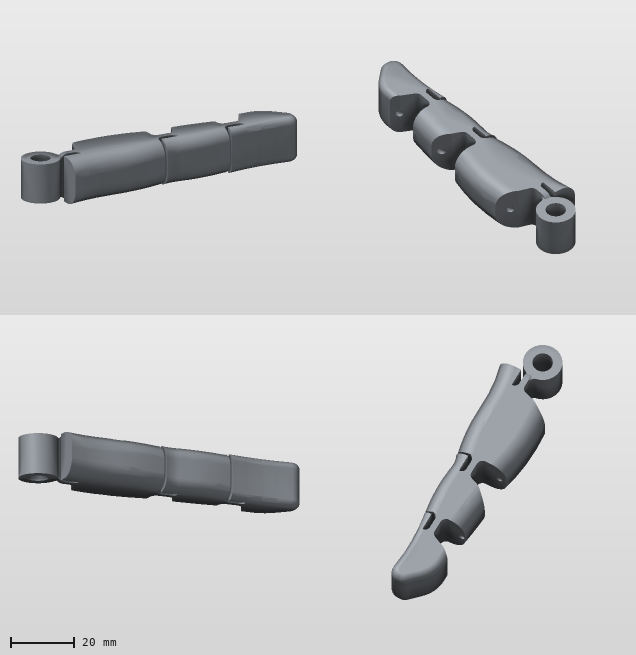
import cadquery as cq
import math


height = 15.0
PALM = -1
BACK = 1
overlap = 0.5
clearance = 19.1

ring_radius = 6.2
bore_diameter = 6.4
ring_height = 13.0
ring_palm_fillet = 2.0
ring_back_fillet = 0.8

web_thickness = 2.0
web_x = 0.33
base_web_x = 0.6
foot_radius = 2.0
notch_fillet = 2.0
slot_fillet = 1.6

hook_gap = 0.9
base_hook_end = 5.9
proximal_top = 39.8
middle_top = 63.3
tip_top = 89.15
middle_hook_end = proximal_top + hook_gap
distal_hook_end = middle_top + hook_gap

proximal_palm_round = 5.4
proximal_back_round = 5.3
middle_palm_round = 5.3
middle_back_round = 4.2
distal_round = 2.3

cord_diameter = 2.0
distal_cord_depth = 3.8


def prism(outline, depth=height):
    """Extrude a closed outline symmetrically about the XY plane."""
    return outline.close().extrude(depth / 2, both=True)


def round_long_edges(blank, radius, x_side):
    """Round the upper and lower long edges on one side of a segment (PALM or BACK)."""
    side = cq.selectors.BoxSelector(
        (0, -clearance, -height), (x_side * clearance, 2 * tip_top, height))
    rims = blank.faces("|Z").edges(side)
    lengthwise = [edge for edge in rims.vals() if abs(edge.tangentAt(0.5).y) > abs(edge.tangentAt(0.5).x)]
    return blank.newObject(lengthwise).fillet(radius)


def proximal_blank():
    palm_hook_end = (-8.2, base_hook_end)
    palm_bulge = (-10.9, 24.8)
    palm_top = (-9.1, proximal_top)
    back_top = (8.5, proximal_top)
    back_bulge = (10.0, 31.5)
    back_seam = (10.4, 21.5)
    back_hook_end = (12.2, base_hook_end)
    blank = prism(
        cq.Workplane().moveTo(*palm_hook_end)
        .threePointArc(palm_bulge, palm_top)
        .lineTo(*back_top)
        .threePointArc(back_bulge, back_seam)
        .tangentArcPoint(back_hook_end, relative=False)
    )
    blank = round_long_edges(blank, proximal_palm_round, PALM)
    return round_long_edges(blank, proximal_back_round, BACK)


def middle_blank():
    palm_hook_end = (-8.8, middle_hook_end)
    palm_bulge = (-8.4, 52.4)
    palm_top = (-7.2, middle_top)
    back_top = (7.1, middle_top)
    back_bulge = (8.1, 53.4)
    back_seam = (7.7, 45.3)
    back_hook_end = (8.4, middle_hook_end)
    blank = prism(
        cq.Workplane().moveTo(*palm_hook_end)
        .threePointArc(palm_bulge, palm_top)
        .lineTo(*back_top)
        .threePointArc(back_bulge, back_seam)
        .tangentArcPoint(back_hook_end, relative=False)
    )
    blank = round_long_edges(blank, middle_palm_round, PALM)
    return round_long_edges(blank, middle_back_round, BACK)


def distal_blank():
    back_tip_radius = 3.4
    back_tip_x = 2.6
    palm_tip_radius = 3.1
    palm_tip_x = 1.5
    slope_length = 5.0
    palm_x = -7.4
    palm_arc_end = 76.9
    diagonal = math.sqrt(0.5)
    slope_top = (palm_tip_x - palm_tip_radius * diagonal,
                 tip_top - palm_tip_radius * (1 - diagonal))
    slope_end = (slope_top[0] - slope_length * diagonal, slope_top[1] - slope_length * diagonal)
    back_hook_end = (6.7, distal_hook_end)
    back_lean = math.radians(6.5)
    back_top = (back_tip_x + back_tip_radius * math.cos(back_lean),
                tip_top - back_tip_radius * (1 + math.sin(back_lean)))
    blank = prism(
        cq.Workplane().moveTo(palm_x, distal_hook_end)
        .lineTo(palm_x, palm_arc_end)
        .tangentArcPoint(slope_end, relative=False)
        .lineTo(*slope_top)
        .tangentArcPoint((palm_tip_x, tip_top), relative=False)
        .lineTo(back_tip_x, tip_top)
        .tangentArcPoint(back_top, relative=False)
        .tangentArcPoint(back_hook_end, relative=False)
    )
    return blank.faces("|Z").edges("not(<Y)").fillet(distal_round)


def palm_notch(corner, kink, root_y, web_face, bottom):
    """Tool for the relief on the palm side, slanting from the outer corner over a kink to the web."""
    slope = (corner[1] - kink[1]) / (corner[0] - kink[0])
    outer_x = -clearance
    outer_y = corner[1] + slope * (outer_x - corner[0])
    tool = prism(
        cq.Workplane().moveTo(outer_x, outer_y).lineTo(*kink).lineTo(web_face, root_y)
        .lineTo(web_face, bottom - overlap).lineTo(outer_x, bottom - overlap)
    )
    return tool.edges("|Z and >X").edges(">Y").fillet(notch_fillet)


def back_slot(web_face, hook_x, top, bottom):
    """Tool for the narrow slot between a web and the hook behind it."""
    web_back = web_face + web_thickness
    tool = prism(
        cq.Workplane().moveTo(web_back, bottom - overlap).lineTo(hook_x, bottom - overlap)
        .lineTo(hook_x, top).lineTo(web_back, top)
    )
    return tool.edges("|Z and <X and >Y").fillet(slot_fillet)


def joint_web(segment_top):
    """Web bridging the hook gap, flared onto the end of the segment below."""
    left, right = web_x, web_x + web_thickness
    foot_top = segment_top + foot_radius
    sink = segment_top - overlap
    dip = foot_radius * (1 - math.sqrt(0.5))
    return prism(
        cq.Workplane().moveTo(left, sink)
        .lineTo(left, segment_top)
        .lineTo(left - foot_radius, segment_top)
        .threePointArc((left - dip, segment_top + dip), (left, foot_top))
        .lineTo(right, foot_top)
        .threePointArc((right + dip, segment_top + dip), (right + foot_radius, segment_top))
        .lineTo(right, segment_top)
        .lineTo(right, sink)
    )


def cord_hole(x, start, end):
    """Cord hole running along Y."""
    return (cq.Workplane("XZ", origin=(x, start, 0))
            .circle(cord_diameter / 2).extrude(start - end))


def mounting_ring():
    """Ring with the root of its web, blended together."""
    root_top = 8.4
    root_bottom = bore_diameter / 2 + overlap
    web_back = base_web_x + web_thickness
    ring = cq.Workplane().circle(ring_radius).extrude(ring_height / 2, both=True)
    root = prism(
        cq.Workplane().moveTo(base_web_x, root_bottom).lineTo(web_back, root_bottom)
        .lineTo(web_back, root_top).lineTo(base_web_x, root_top),
        ring_height,
    )
    ring = ring.union(root)
    for web_face, radius in ((base_web_x, ring_palm_fillet), (web_back, ring_back_fillet)):
        corner = (web_face, math.sqrt(ring_radius ** 2 - web_face ** 2), 0)
        ring = ring.edges("|Z").edges(cq.selectors.NearestToPointSelector(corner)).fillet(radius)
    bore = cq.Workplane().circle(bore_diameter / 2).extrude(height, both=True)
    return ring.cut(bore)


def web_end_rounding():
    """Tool that rounds the base web down from segment height to ring height."""
    drop = (height - ring_height) / 2
    run = 2.5
    radius = (run ** 2 + drop ** 2) / (2 * drop)
    start_y = base_hook_end + run
    half_angle = math.asin(run / radius) / 2
    middle = (start_y - radius * math.sin(half_angle),
              height / 2 - radius * (1 - math.cos(half_angle)))
    upper = (
        cq.Workplane("YZ", origin=(base_web_x - overlap, 0, 0))
        .moveTo(start_y, height / 2)
        .threePointArc(middle, (base_hook_end, ring_height / 2))
        .lineTo(base_hook_end, height / 2)
        .close().extrude(web_thickness + 2 * overlap)
    )
    return upper.union(upper.mirror("XY"))


proximal_slot_top = 12.0
proximal_hook_x = 4.4
proximal_cord_x = -6.5
proximal_notch = palm_notch(
    corner=(-10.0, 17.0), kink=(-4.2, 13.4), root_y=11.9,
    web_face=base_web_x, bottom=base_hook_end)
proximal = (
    proximal_blank()
    .cut(proximal_notch)
    .cut(back_slot(base_web_x, proximal_hook_x, proximal_slot_top, base_hook_end))
    .cut(web_end_rounding())
    .cut(cord_hole(proximal_cord_x, base_hook_end, proximal_top + overlap))
)

finger_hook_x = 4.1

middle_slot_top = 46.5
middle_cord_x = -6.1
middle_notch = palm_notch(
    corner=(-8.4, 52.4), kink=(-3.7, 48.2), root_y=46.6,
    web_face=web_x, bottom=middle_hook_end)
middle = (
    middle_blank()
    .cut(middle_notch)
    .cut(back_slot(web_x, finger_hook_x, middle_slot_top, middle_hook_end))
    .cut(cord_hole(middle_cord_x, middle_hook_end, middle_top + overlap))
)

distal_slot_top = 70.2
distal_cord_x = -5.15
distal_corner = (-7.4, 74.8)
distal_notch = palm_notch(
    corner=distal_corner, kink=(-5.1, 72.75), root_y=70.2,
    web_face=web_x, bottom=distal_hook_end)
distal = (
    distal_blank()
    .cut(distal_notch)
    .cut(back_slot(web_x, finger_hook_x, distal_slot_top, distal_hook_end))
    .cut(cord_hole(distal_cord_x, distal_hook_end, distal_corner[1] + distal_cord_depth))
)

result = (
    mounting_ring()
    .union(proximal)
    .union(joint_web(proximal_top))
    .union(middle)
    .union(joint_web(middle_top))
    .union(distal)
)